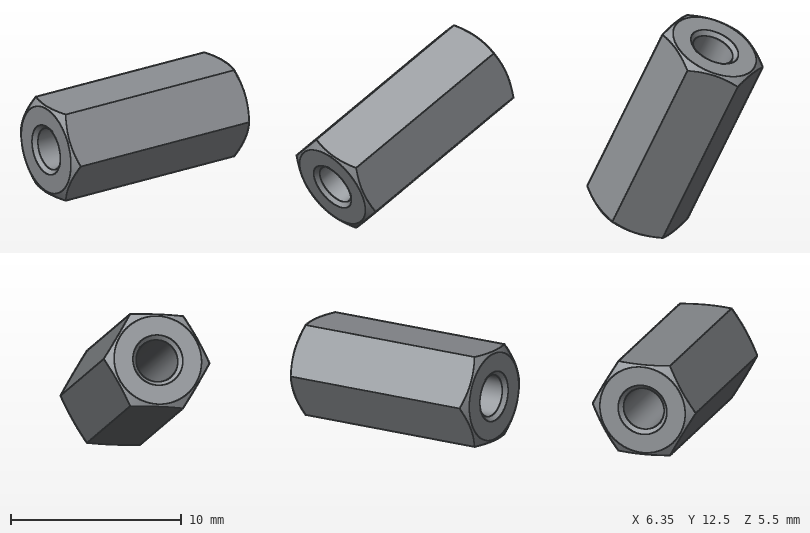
import cadquery as cq
import math

length = 12.5
across_flats = 5.5
end_face_diameter = 5.25
chamfer_angle = 30.0
bore_diameter = 2.5
countersink_diameter = 3.0

across_corners = across_flats / math.cos(math.radians(30))
half_length = length / 2
corner_radius = across_corners / 2
end_face_radius = end_face_diameter / 2
bore_radius = bore_diameter / 2
countersink_radius = countersink_diameter / 2
chamfer_depth = (corner_radius - end_face_radius) * math.tan(math.radians(chamfer_angle))
countersink_depth = countersink_radius - bore_radius


def hexagonal_bar():
    """Hexagonal bar with corners on X and flats facing Z."""
    return (
        cq.Workplane("XZ")
        .polygon(6, across_corners)
        .extrude(half_length, both=True)
    )


def turned_envelope():
    """Revolved body that chamfers the hexagon corners, with a bore countersunk at both ends."""
    chamfer_start = half_length - chamfer_depth
    countersink_start = half_length - countersink_depth
    radial_section = [
        (bore_radius, -countersink_start),
        (countersink_radius, -half_length),
        (end_face_radius, -half_length),
        (corner_radius, -chamfer_start),
        (corner_radius, chamfer_start),
        (end_face_radius, half_length),
        (countersink_radius, half_length),
        (bore_radius, countersink_start),
    ]
    return (
        cq.Workplane("XY")
        .polyline(radial_section)
        .close()
        .revolve(360, (0, 0, 0), (0, 1, 0))
    )


result = hexagonal_bar().intersect(turned_envelope())